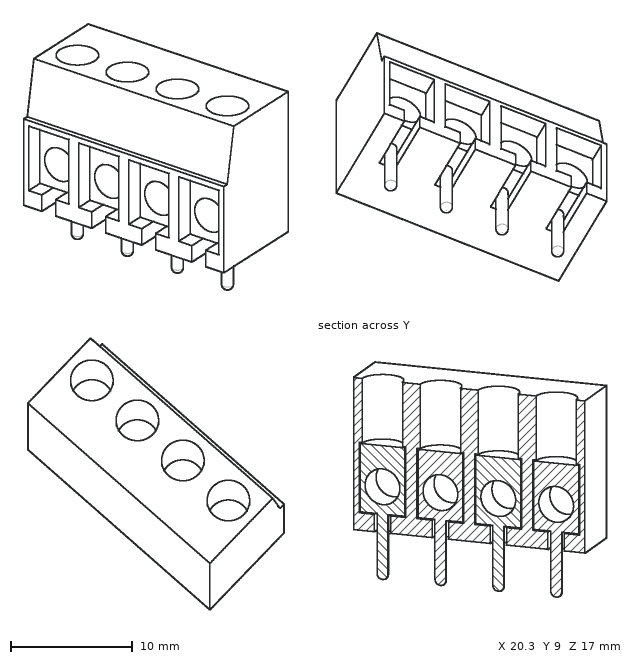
import cadquery as cq

POLES = 4
LENGTH = 20.32
PITCH = LENGTH / POLES
POLE_POSITIONS = [(i - (POLES - 1) / 2) * PITCH for i in range(POLES)]

DEPTH = 9.0
HEIGHT = 13.0
LEDGE_HEIGHT = 8.0
LEDGE_WIDTH = 0.49
TOP_SETBACK = 1.4

CAVITY_MARGIN = 0.5
CAVITY_WIDTH = PITCH - 2 * CAVITY_MARGIN
CAVITY_FLOOR = 1.52
CAVITY_TOP = LEDGE_HEIGHT - CAVITY_MARGIN

TERMINAL_GAP = 0.05
TERMINAL_WIDTH = CAVITY_WIDTH - 2 * TERMINAL_GAP
TERMINAL_BOTTOM = CAVITY_FLOOR + TERMINAL_GAP
TERMINAL_TOP = CAVITY_TOP - TERMINAL_GAP
TERMINAL_FRONT = 1.5
AXIS_Y = 4.0
TERMINAL_DEPTH = 2 * (AXIS_Y - TERMINAL_FRONT)
CAVITY_DEPTH = TERMINAL_FRONT + TERMINAL_DEPTH

PIN_DIAMETER = 1.0
PIN_PROTRUSION = 4.0
PIN_TIP_ROUNDING = 0.49

SLOT_WIDTH = 1.4
SLOT_DEPTH = AXIS_Y + SLOT_WIDTH / 2

WIRE_HOLE_DIAMETER = 3.0
WIRE_HOLE_HEIGHT = 3.92
SCREW_HOLE_DIAMETER = 3.5


def pole_box(x, width, front, depth, bottom, top):
    """Box centred on x, from front back over depth, between two heights."""
    return (
        cq.Workplane("XY", origin=(x, front, bottom))
        .box(width, depth, top - bottom, centered=(True, False, False))
    )


def make_housing_block():
    """Constant cross-section with a sloped upper front above a narrow ledge."""
    profile = [
        (0, 0),
        (DEPTH, 0),
        (DEPTH, HEIGHT),
        (TOP_SETBACK, HEIGHT),
        (LEDGE_WIDTH, LEDGE_HEIGHT),
        (0, LEDGE_HEIGHT),
    ]
    return cq.Workplane("YZ").polyline(profile).close().extrude(LENGTH / 2, both=True)


def make_screw_hole(x):
    """Vertical hole from the top face down into the cavity."""
    return (
        cq.Workplane("XY", origin=(x, AXIS_Y, CAVITY_TOP))
        .circle(SCREW_HOLE_DIAMETER / 2)
        .extrude(HEIGHT - CAVITY_TOP)
    )


def make_housing():
    body = make_housing_block()
    for x in POLE_POSITIONS:
        body = body.cut(pole_box(x, CAVITY_WIDTH, 0, CAVITY_DEPTH, CAVITY_FLOOR, CAVITY_TOP))
        body = body.cut(pole_box(x, SLOT_WIDTH, 0, SLOT_DEPTH, 0, CAVITY_FLOOR))
        body = body.cut(make_screw_hole(x))
    return body


def make_pin(x):
    """Round pin under the terminal block, with a rounded tip."""
    return (
        cq.Workplane("XY", origin=(x, AXIS_Y, -PIN_PROTRUSION))
        .circle(PIN_DIAMETER / 2)
        .extrude(PIN_PROTRUSION + TERMINAL_BOTTOM)
        .faces("<Z")
        .edges()
        .fillet(PIN_TIP_ROUNDING)
    )


def make_wire_hole(x):
    """Horizontal hole right through the terminal block."""
    return (
        cq.Workplane("XZ", origin=(x, TERMINAL_FRONT, WIRE_HOLE_HEIGHT))
        .circle(WIRE_HOLE_DIAMETER / 2)
        .extrude(-TERMINAL_DEPTH)
    )


def make_terminal(x):
    """Terminal block with its wire hole and its solder pin, as one solid."""
    block = pole_box(x, TERMINAL_WIDTH, TERMINAL_FRONT, TERMINAL_DEPTH, TERMINAL_BOTTOM, TERMINAL_TOP)
    return block.cut(make_wire_hole(x)).union(make_pin(x))


housing = make_housing()
terminals = [make_terminal(x) for x in POLE_POSITIONS]

result = cq.Compound.makeCompound([housing.val(), *[terminal.val() for terminal in terminals]])